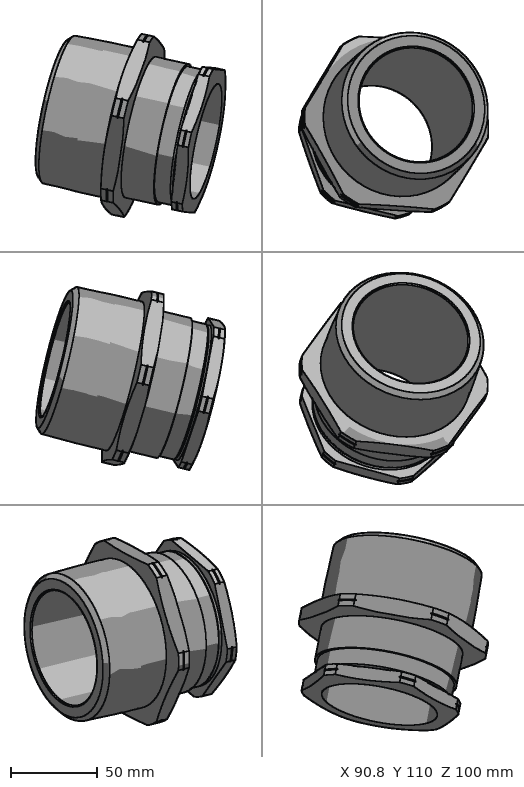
import cadquery as cq
import math

thread_end_x = 24.3
body_nut_x = 41.8
body_nut_width = 9.9
shoulder_end_x = 71.2
groove_x = 81.9
gland_nut_x = 83.0
total_length = 90.8

bore_radius = 34.0
thread_tip_radius = 43.8
body_radius = 44.3
shoulder_radius = 41.7
neck_radius = 40.2
groove_radius = 39.0
collar_radius = 40.2

thread_chamfer_length = 2.9
thread_chamfer_height = 2.7
bore_chamfer = 0.8
neck_chamfer_length = 1.1

body_nut_flats = 100.0
body_nut_corner_radius = 55.0
body_nut_front_chamfer = 1.4
body_nut_back_chamfer = 1.1
body_nut_turn = 0.0
gland_nut_flats = 84.2
gland_nut_corner_radius = 46.3
gland_nut_front_chamfer = 0.0
gland_nut_back_chamfer = 1.2
gland_nut_turn = 10.0
nut_chamfer_angle = math.radians(15.0)

corner_groove_width = 0.8
corner_groove_depth = 0.3


def revolve_about_x(profile):
    """Solid of revolution from (x, radius) points."""
    return cq.Workplane("XY").polyline(profile).close().revolve(360, (0, 0, 0), (1, 0, 0))


def hex_nut(start_x, width, flats, corner_radius, front_chamfer, back_chamfer, turn):
    """Hexagon nut with rounded corners, conical face chamfers and a V-groove around its corners."""
    end_x = start_x + width
    front_edge_x = start_x + front_chamfer
    back_edge_x = end_x - back_chamfer
    groove_center_x = (front_edge_x + back_edge_x) / 2
    prism = (
        cq.Workplane("YZ", origin=(start_x, 0, 0))
        .polygon(6, flats / math.cos(math.pi / 6))
        .extrude(width)
        .rotate((0, 0, 0), (1, 0, 0), turn)
    )
    envelope = [(start_x, 0)]
    if front_chamfer > 0:
        envelope.append((start_x, corner_radius - front_chamfer / math.tan(nut_chamfer_angle)))
    envelope += [
        (front_edge_x, corner_radius),
        (groove_center_x - corner_groove_width / 2, corner_radius),
        (groove_center_x, corner_radius - corner_groove_depth),
        (groove_center_x + corner_groove_width / 2, corner_radius),
        (back_edge_x, corner_radius),
        (end_x, corner_radius - back_chamfer / math.tan(nut_chamfer_angle)),
        (end_x, 0),
    ]
    return prism.intersect(revolve_about_x(envelope))


body = revolve_about_x([
    (0, 0),
    (0, thread_tip_radius - thread_chamfer_height),
    (thread_chamfer_length, thread_tip_radius),
    (thread_end_x, body_radius),
    (body_nut_x, body_radius),
    (body_nut_x, shoulder_radius),
    (shoulder_end_x, shoulder_radius),
    (shoulder_end_x, neck_radius),
    (groove_x - neck_chamfer_length, neck_radius),
    (groove_x, groove_radius),
    (gland_nut_x, collar_radius),
    (total_length, collar_radius),
    (total_length, 0),
])

body_nut = hex_nut(
    body_nut_x, body_nut_width, body_nut_flats, body_nut_corner_radius,
    body_nut_front_chamfer, body_nut_back_chamfer, body_nut_turn,
)

gland_nut = hex_nut(
    gland_nut_x, total_length - gland_nut_x, gland_nut_flats, gland_nut_corner_radius,
    gland_nut_front_chamfer, gland_nut_back_chamfer, gland_nut_turn,
)

bore = revolve_about_x([
    (0, 0),
    (0, bore_radius + bore_chamfer),
    (bore_chamfer, bore_radius),
    (total_length, bore_radius),
    (total_length, 0),
])

result = body.union(body_nut).union(gland_nut).cut(bore)